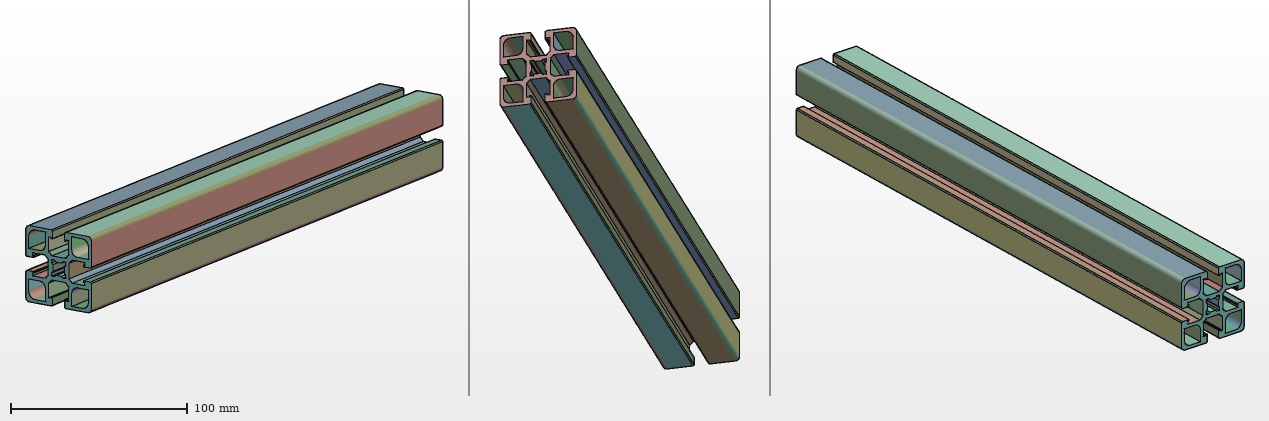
import cadquery as cq

SIDE = 45.0
LENGTH = 355.0
CORNER_RADIUS = 2.5
HALF_SIDE = SIDE / 2

SLOT_OPENING = 8.2
MOUTH_CHAMFER = 0.7
LIP_DEPTH = 5.3
LIP_RIDGE_WIDTH = 1.0
LIP_RIDGE_HEIGHT = 0.7
CHANNEL_HALF_WIDTH = 6.8
CHANNEL_CHAMFER = 2.2
CHANNEL_FLOOR_HEIGHT = 7.1

OUTER_WALL = 2.0
CHANNEL_WALL = 2.2
CHAMBER_OUTER_RADIUS = 4.5
CHAMBER_INNER_RADIUS = 4.0

CORE_HALF_WIDTH = 4.8
CORE_RIB_HEIGHT = 0.9
CORE_RIB_BASE = 6.0
CORE_RIB_TIP = 4.0


def prism(outline):
    """Extrude a closed XZ outline along +Y over the full length."""
    return outline.extrude(-LENGTH)


def section():
    """Workplane on the -Y end face, centred on the profile axis."""
    return cq.Workplane("XZ", origin=(0, -LENGTH / 2, 0))


def quarter_turn(solid, count):
    """Turn a solid about the profile axis by a number of quarter turns."""
    return solid.rotate((0, 0, 0), (0, 1, 0), 90 * count)


def body():
    """Square bar with rounded long edges."""
    block = prism(section().rect(SIDE, SIDE))
    return block.edges("|Y").fillet(CORNER_RADIUS)


def t_slot():
    """Cutter for the slot in the +Z side."""
    mouth = SLOT_OPENING / 2
    lip_bottom = HALF_SIDE - LIP_DEPTH
    channel_top = lip_bottom + LIP_RIDGE_HEIGHT
    floor = CHANNEL_FLOOR_HEIGHT
    right_side = [
        (mouth + MOUTH_CHAMFER, HALF_SIDE),
        (mouth, HALF_SIDE - MOUTH_CHAMFER),
        (mouth, lip_bottom),
        (mouth + LIP_RIDGE_WIDTH, lip_bottom),
        (mouth + LIP_RIDGE_WIDTH, channel_top),
        (CHANNEL_HALF_WIDTH, channel_top),
        (CHANNEL_HALF_WIDTH, floor + CHANNEL_CHAMFER),
        (CHANNEL_HALF_WIDTH - CHANNEL_CHAMFER, floor),
    ]
    left_side = [(-x, z) for x, z in reversed(right_side)]
    return prism(section().polyline(right_side + left_side).close())


def corner_chamber():
    """Cutter for the hollow in the +X +Z corner."""
    near = CHANNEL_HALF_WIDTH + CHANNEL_WALL
    far = HALF_SIDE - OUTER_WALL
    outer_start = far - CHAMBER_OUTER_RADIUS
    inner_end = near + CHAMBER_INNER_RADIUS
    outline = (
        section()
        .moveTo(inner_end, near)
        .lineTo(far, near)
        .lineTo(far, outer_start)
        .radiusArc((outer_start, far), -CHAMBER_OUTER_RADIUS)
        .lineTo(near, far)
        .lineTo(near, inner_end)
        .radiusArc((inner_end, near), -CHAMBER_INNER_RADIUS)
        .close()
    )
    return prism(outline)


def core_hole():
    """Cutter for the ribbed square hole along the axis."""
    half = CORE_HALF_WIDTH
    rib_face = half - CORE_RIB_HEIGHT
    hole = prism(section().rect(2 * half, 2 * half))
    rib_outline = [
        (-CORE_RIB_BASE / 2, half),
        (-CORE_RIB_TIP / 2, rib_face),
        (CORE_RIB_TIP / 2, rib_face),
        (CORE_RIB_BASE / 2, half),
    ]
    rib = prism(section().polyline(rib_outline).close())
    for quarter in range(4):
        hole = hole.cut(quarter_turn(rib, quarter))
    return hole


result = body().cut(core_hole())
for quarter in range(4):
    for cutter in (t_slot(), corner_chamber()):
        result = result.cut(quarter_turn(cutter, quarter))